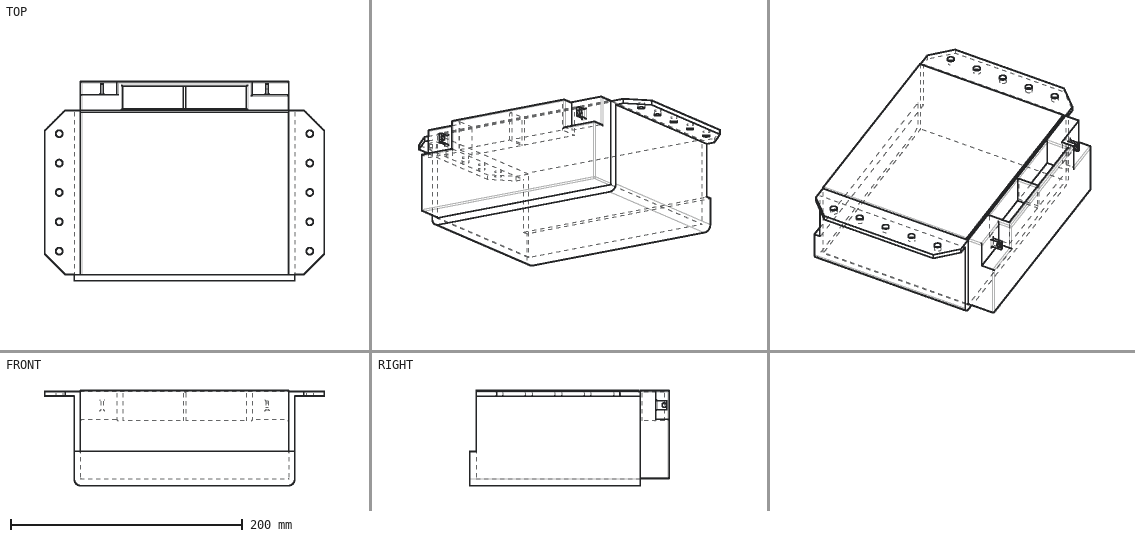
import cadquery as cq


FLANGE_SPAN = 241.3
BRACKET_WIDTH = 190.6
BRACKET_LENGTH = 147.2
BRACKET_HEIGHT = 81.5
FLOOR_THICKNESS = 6.3
FLANGE_THICKNESS = 4.0
FLANGE_CORNER_CUT = 17.5
LIP_THICKNESS = 5.5
LIP_HEIGHT = 30.0
BOTTOM_RADIUS = 6.3
MOUNT_HOLE_DIAMETER = 5.8
MOUNT_HOLE_COUNT = 5
MOUNT_HOLE_PITCH = 25.3
MOUNT_HOLE_INSET = 12.5

CASE_WIDTH = 180.0
CASE_TOP = 82.5
CASE_OVERHANG = 25.0
EDGE_RADIUS = 1.3
GROOVE_WIDTH = 1.7
GROOVE_DEPTH = 1.0

POCKET_WIDTH = 106.7
POCKET_LENGTH = 19.3
POCKET_BACK_WALL = 4.3
POCKET_DEPTH = 25.8
DIVIDER_THICKNESS = 2.5

NOTCH_WIDTH = 31.4
NOTCH_LENGTH = 11.5
NOTCH_DEPTH = 25.0

BLADE_THICKNESS = 2.5
BLADE_HEIGHT = 7.7
BLADE_LENGTH = 9.5
BLADE_DROP = 9.0
BLADE_INSET = 18.8
BLADE_HOLE_DIAMETER = 3.9
BLADE_HOLE_FROM_TIP = 2.2
BLADE_ROOT_RADIUS = 1.2

BRACKET_BACK = (BRACKET_LENGTH + CASE_OVERHANG) / 2 - CASE_OVERHANG
BRACKET_FRONT = BRACKET_BACK - BRACKET_LENGTH
CASE_FRONT = BRACKET_FRONT + LIP_THICKNESS
CASE_BACK = BRACKET_BACK + CASE_OVERHANG
FLANGE_MIDDLE = (BRACKET_BACK + CASE_FRONT) / 2
NOTCH_FLOOR = CASE_TOP - NOTCH_DEPTH
NOTCH_FRONT = CASE_BACK - NOTCH_LENGTH
NOTCH_INNER_X = CASE_WIDTH / 2 - NOTCH_WIDTH


def block(x_min, x_max, y_min, y_max, z_min, z_max):
    """Axis-aligned box between the given limits."""
    size = (x_max - x_min, y_max - y_min, z_max - z_min)
    return cq.Workplane("XY").box(*size, centered=False).translate((x_min, y_min, z_min))


def centered_block(width, y_min, y_max, z_min, z_max):
    """Box that is symmetric about X = 0."""
    return block(-width / 2, width / 2, y_min, y_max, z_min, z_max)


def make_bracket():
    """U-shaped tray with a low front lip and two drilled side flanges."""
    tray = centered_block(BRACKET_WIDTH, BRACKET_FRONT, BRACKET_BACK, 0, BRACKET_HEIGHT)
    tray = tray.edges("|Y and <Z").fillet(BOTTOM_RADIUS)
    above_lip = centered_block(BRACKET_WIDTH, BRACKET_FRONT, CASE_FRONT, LIP_HEIGHT, BRACKET_HEIGHT)

    flanges = centered_block(
        FLANGE_SPAN, CASE_FRONT, BRACKET_BACK, BRACKET_HEIGHT - FLANGE_THICKNESS, BRACKET_HEIGHT
    )
    flanges = flanges.edges("|Z").chamfer(FLANGE_CORNER_CUT)

    hole_spacing_x = FLANGE_SPAN - 2 * MOUNT_HOLE_INSET
    mount_holes = (
        cq.Workplane("XY")
        .center(0, FLANGE_MIDDLE)
        .rarray(hole_spacing_x, MOUNT_HOLE_PITCH, 2, MOUNT_HOLE_COUNT)
        .circle(MOUNT_HOLE_DIAMETER / 2)
        .extrude(BRACKET_HEIGHT)
    )
    case_space = centered_block(CASE_WIDTH, CASE_FRONT, BRACKET_BACK, FLOOR_THICKNESS, CASE_TOP)
    return tray.cut(above_lip).union(flanges).cut(mount_holes).cut(case_space)


def make_notch(side):
    """Space removed from one rear top corner; side is -1 for left and +1 for right."""
    x_limits = sorted((side * NOTCH_INNER_X, side * CASE_WIDTH / 2))
    return block(*x_limits, NOTCH_FRONT, CASE_BACK, NOTCH_FLOOR, CASE_TOP)


def edges_at(body, points):
    """Edges of the body whose middles lie at the points."""
    return [body.edges(cq.selectors.NearestToPointSelector(point)).val() for point in points]


def notch_edges(body, side):
    """Edges to round on the sides of one notch, away from the rear face."""
    inner_x = side * NOTCH_INNER_X
    outer_x = side * CASE_WIDTH / 2
    middle_y = (NOTCH_FRONT + CASE_BACK) / 2
    points = [(inner_x, middle_y, CASE_TOP)]
    if side < 0:
        points.append((outer_x, middle_y, NOTCH_FLOOR))
        points.append((outer_x, NOTCH_FRONT, (NOTCH_FLOOR + CASE_TOP) / 2))
    else:
        points.append(((inner_x + outer_x) / 2, NOTCH_FRONT, CASE_TOP))
    return edges_at(body, points)


def make_case_shell():
    """Case block with the two notches, its edges rounded except around the front face."""
    shell = centered_block(CASE_WIDTH, CASE_FRONT, CASE_BACK, FLOOR_THICKNESS, CASE_TOP)
    for side in (-1, 1):
        shell = shell.cut(make_notch(side))

    top_side_middle_y = (CASE_FRONT + NOTCH_FRONT) / 2
    top_side_points = [(side * CASE_WIDTH / 2, top_side_middle_y, CASE_TOP) for side in (-1, 1)]
    rounded_edges = shell.faces(">Y").edges().vals() + shell.edges("|Y and <Z").vals()
    rounded_edges += edges_at(shell, top_side_points)
    for side in (-1, 1):
        rounded_edges += notch_edges(shell, side)
    return shell.newObject(rounded_edges).fillet(EDGE_RADIUS)


def add_pocket(body):
    """Cut the connector pocket, round its rim and stand the round-topped divider in it."""
    back = CASE_BACK - POCKET_BACK_WALL
    front = back - POCKET_LENGTH
    floor = CASE_TOP - POCKET_DEPTH
    pocket = centered_block(POCKET_WIDTH, front, back, floor, CASE_TOP)
    body = body.cut(pocket)
    half_width = POCKET_WIDTH / 2
    middle_y = (front + back) / 2
    rim_points = [
        (0, front, CASE_TOP),
        (0, back, CASE_TOP),
        (-half_width, middle_y, CASE_TOP),
        (half_width, middle_y, CASE_TOP),
    ]
    body = body.newObject(edges_at(body, rim_points)).fillet(EDGE_RADIUS)

    half_divider = DIVIDER_THICKNESS / 2
    divider_shoulder = CASE_TOP - EDGE_RADIUS - half_divider
    divider = (
        cq.Workplane("XZ", origin=(0, back, 0))
        .moveTo(-half_divider, floor)
        .lineTo(-half_divider, divider_shoulder)
        .threePointArc((0, divider_shoulder + half_divider), (half_divider, divider_shoulder))
        .lineTo(half_divider, floor)
        .close()
        .extrude(POCKET_LENGTH)
    )
    return body.union(divider)


def add_blade(body, side):
    """Add an upright terminal blade with a cross hole and a rounded root to the notch front wall."""
    x_middle = side * (CASE_WIDTH / 2 - BLADE_INSET)
    tip = NOTCH_FRONT + BLADE_LENGTH
    top = CASE_TOP - BLADE_DROP
    bottom = top - BLADE_HEIGHT
    x_min = x_middle - BLADE_THICKNESS / 2
    x_max = x_min + BLADE_THICKNESS
    z_middle = (top + bottom) / 2
    blade = block(x_min, x_max, NOTCH_FRONT, tip, bottom, top)
    hole = (
        cq.Workplane("YZ", origin=(x_min, tip - BLADE_HOLE_FROM_TIP, z_middle))
        .circle(BLADE_HOLE_DIAMETER / 2)
        .extrude(BLADE_THICKNESS)
    )
    body = body.union(blade.cut(hole))

    root_points = [
        (x_min, NOTCH_FRONT, z_middle),
        (x_max, NOTCH_FRONT, z_middle),
        (x_middle, NOTCH_FRONT, top),
        (x_middle, NOTCH_FRONT, bottom),
    ]
    return body.newObject(edges_at(body, root_points)).fillet(BLADE_ROOT_RADIUS)


def make_case():
    """Controller case with notches, connector pocket, top groove and terminal blades."""
    case = add_pocket(make_case_shell())
    groove = centered_block(
        CASE_WIDTH, BRACKET_BACK - GROOVE_WIDTH, BRACKET_BACK, CASE_TOP - GROOVE_DEPTH, CASE_TOP
    )
    case = case.cut(groove)
    for side in (-1, 1):
        case = add_blade(case, side)
    return case


bracket = make_bracket()
case = make_case()
result = cq.Compound.makeCompound([bracket.val(), case.val()])